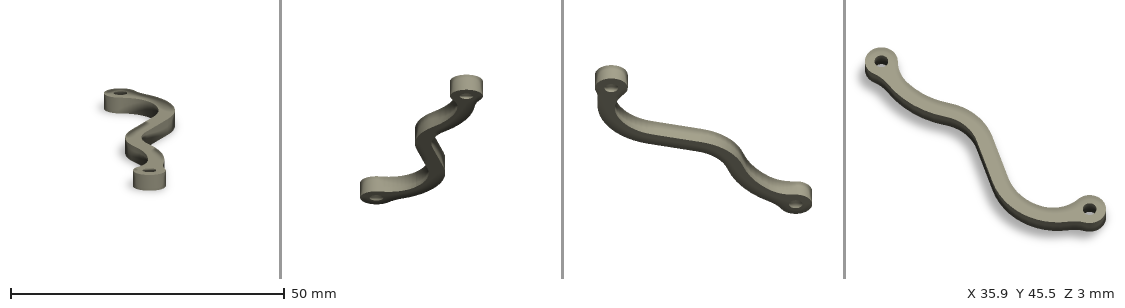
import cadquery as cq
import math

thickness = 3.0
arm_width = 3.0
half_width = arm_width / 2
eye_radius = 3.0
hole_diameter = 2.5
blend_radius = 6.65

upper_eye = (0, 0)
lower_eye = (29.85, -39.55)

upper_bend_center = (3.45, -10.75)
upper_bend_radius = 11.05
straight_length = 9.35
middle_bend_radius = 9.3
lower_bend_radius = 16.25
straight_lean = 5.0
inflection_lean = 64.2


def offset(point, direction, distance):
    """Point at a distance from another along a unit direction."""
    return (point[0] + direction[0] * distance, point[1] + direction[1] * distance)


def toward(start, end, distance):
    """Point at a distance from start on the line through start and end."""
    length = math.dist(start, end)
    direction = ((end[0] - start[0]) / length, (end[1] - start[1]) / length)
    return offset(start, direction, distance)


def outer_normal(lean):
    """Unit normal on the +X, +Y side of an arm running at the given lean."""
    angle = math.radians(lean)
    return (math.cos(angle), math.sin(angle))


def circle_crossing(center_a, radius_a, center_b, radius_b):
    """Crossing of two circles, on the left when going from center_a to center_b."""
    spacing = math.dist(center_a, center_b)
    along = (radius_a**2 - radius_b**2 + spacing**2) / (2 * spacing)
    across = math.sqrt(radius_a**2 - along**2)
    ux = (center_b[0] - center_a[0]) / spacing
    uy = (center_b[1] - center_a[1]) / spacing
    return offset(offset(center_a, (ux, uy), along), (-uy, ux), across)


def add_arc(outline, center, start, end):
    """Extend the outline from start by the shorter arc about center to end."""
    chord_middle = ((start[0] + end[0]) / 2, (start[1] + end[1]) / 2)
    return outline.threePointArc(toward(center, chord_middle, math.dist(center, start)), end)


straight_normal = outer_normal(straight_lean)
inflection_normal = outer_normal(inflection_lean)
straight_heading = (straight_normal[1], -straight_normal[0])
straight_start = offset(upper_bend_center, straight_normal, upper_bend_radius)
straight_end = offset(straight_start, straight_heading, straight_length)
middle_bend_center = offset(straight_end, straight_normal, middle_bend_radius)
inflection = offset(middle_bend_center, inflection_normal, -middle_bend_radius)
lower_bend_center = offset(inflection, inflection_normal, -lower_bend_radius)

eye_to_blend = eye_radius + blend_radius
upper_outer_blend = circle_crossing(
    upper_eye, eye_to_blend, upper_bend_center, upper_bend_radius + half_width + blend_radius
)
upper_inner_blend = circle_crossing(
    upper_eye, eye_to_blend, upper_bend_center, upper_bend_radius - half_width - blend_radius
)
lower_outer_blend = circle_crossing(
    lower_bend_center, lower_bend_radius + half_width + blend_radius, lower_eye, eye_to_blend
)
lower_inner_blend = circle_crossing(
    lower_bend_center, lower_bend_radius - half_width - blend_radius, lower_eye, eye_to_blend
)

upper_outer_eye = toward(upper_eye, upper_outer_blend, eye_radius)
upper_inner_eye = toward(upper_eye, upper_inner_blend, eye_radius)
lower_outer_eye = toward(lower_eye, lower_outer_blend, eye_radius)
lower_inner_eye = toward(lower_eye, lower_inner_blend, eye_radius)
upper_outer_arm = toward(upper_bend_center, upper_outer_blend, upper_bend_radius + half_width)
upper_inner_arm = toward(upper_bend_center, upper_inner_blend, upper_bend_radius - half_width)
lower_outer_arm = toward(lower_bend_center, lower_outer_blend, lower_bend_radius + half_width)
lower_inner_arm = toward(lower_bend_center, lower_inner_blend, lower_bend_radius - half_width)

outer_start = offset(straight_start, straight_normal, half_width)
outer_end = offset(straight_end, straight_normal, half_width)
outer_inflection = offset(inflection, inflection_normal, half_width)
inner_start = offset(straight_start, straight_normal, -half_width)
inner_end = offset(straight_end, straight_normal, -half_width)
inner_inflection = offset(inflection, inflection_normal, -half_width)


def make_arm():
    """Arm with its blends; each end closes with straight lines to the eye centre."""
    outline = cq.Workplane("XY").moveTo(*upper_eye).lineTo(*upper_outer_eye)
    outline = add_arc(outline, upper_outer_blend, upper_outer_eye, upper_outer_arm)
    outline = add_arc(outline, upper_bend_center, upper_outer_arm, outer_start)
    outline = outline.lineTo(*outer_end)
    outline = add_arc(outline, middle_bend_center, outer_end, outer_inflection)
    outline = add_arc(outline, lower_bend_center, outer_inflection, lower_outer_arm)
    outline = add_arc(outline, lower_outer_blend, lower_outer_arm, lower_outer_eye)
    outline = outline.lineTo(*lower_eye).lineTo(*lower_inner_eye)
    outline = add_arc(outline, lower_inner_blend, lower_inner_eye, lower_inner_arm)
    outline = add_arc(outline, lower_bend_center, lower_inner_arm, inner_inflection)
    outline = add_arc(outline, middle_bend_center, inner_inflection, inner_end)
    outline = outline.lineTo(*inner_start)
    outline = add_arc(outline, upper_bend_center, inner_start, upper_inner_arm)
    outline = add_arc(outline, upper_inner_blend, upper_inner_arm, upper_inner_eye)
    return outline.close().extrude(thickness)


def make_eye_cylinders(radius):
    """Full-height cylinders at both eye axes."""
    return cq.Workplane("XY").pushPoints([upper_eye, lower_eye]).circle(radius).extrude(thickness)


result = make_arm().union(make_eye_cylinders(eye_radius)).cut(make_eye_cylinders(hole_diameter / 2))